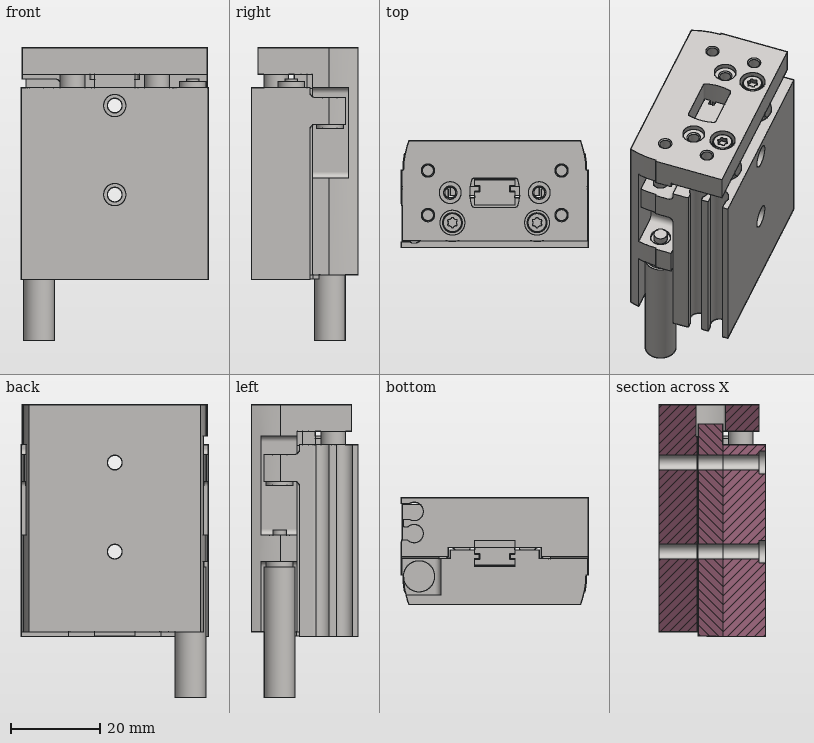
import cadquery as cq
import math


housing_half_width = 21.0
housing_bottom = -0.1
housing_top = 43.0
housing_depth = 13.2

table_half_width = 20.8
table_top = 52.0
table_bottom = 1.0
end_plate_thickness = 6.0
end_plate_front = 1.5
table_back = 24.0
table_wall = 2.2
flange_front = 13.7
crown_start = 17.4
crown_step = 0.35
crown_drop = 1.15
fit_gap = 0.4

end_plate_bottom = table_top - end_plate_thickness
pocket_back = table_back - table_wall
crown_run = table_back - crown_start
crown_radius = (crown_run**2 + crown_drop**2) / (2 * crown_drop)

rail_half_width = 4.5
rail_front = 9.6
rail_back = 15.2
rail_bottom = 0.0
rail_top = 47.7
ball_groove_front = 12.55
ball_groove_width = 1.3
ball_groove_depth = 1.1

carriage_half_width = 10.0
carriage_front = 11.7
carriage_top = 42.8
channel_floor = 11.2
carriage_bore_back = rail_back + 0.2
ridge_clearance = 0.1

flange_inner = 12.1
window_top = 44.95
bridge_top = 22.7
bridge_bottom = 16.8
window_fillet = 1.3

lug_bottom = 34.8
lug_top = 40.8
lug_back = 21.15
lug_inner = flange_inner + fit_gap
lug_fillet = 1.2
stop_x = 17.0
stop_y = 17.65
bumper_diameter = 6.0
bumper_height = 0.9
lug_hole_diameter = 3.24

groove_diameter = 4.13
groove_center_x = -18.1
front_groove_y = 3.1
front_groove_mouth = 3.6
rear_groove_y = 8.05
rear_groove_mouth = 2.9
rear_bevel_width = 0.45
rear_bevel_depth = 0.1
rib_inset = 0.5

mount_hole_diameter = 3.24
mount_bore_diameter = 5.0
mount_bore_depth = 1.5
mount_hole_heights = (19.0, 39.0)

rod_x = 9.5
rod_y = 5.6
rod_diameter = 5.6
rod_insertion = 12.0
gland_diameter = 8.5
gland_depth = 6.0
screw_shank_diameter = 3.0
screw_head_diameter = 4.46
screw_head_height = 2.4
screw_head_chamfer = 0.2
screw_bore_diameter = 5.6
screw_bore_depth = 2.8
socket_diameter = 1.9
socket_lobe_diameter = 0.5
socket_depth = 1.0

stud_x = 17.5
stud_y = 9.0
stud_diameter = 6.0
stud_height = 1.4
stud_pin_diameter = 2.8
stud_pin_height = 0.6

tapped_hole_x = 15.0
tapped_hole_rows = (7.3, 17.3)
thread_mouth_diameter = 3.0
thread_diameter = 2.46
tapped_hole_depth = 5.0
stepped_hole_x = 10.0
stepped_hole_y = 12.35
stepped_bore_diameter = 4.9
stepped_bore_depth = 1.2
opening_half_width = 5.6
opening_corner_x = 5.05
opening_front = 9.05
opening_back = 15.6
opening_fillet = 0.6
opening_bottom = 44.8

absorber_bottom = -13.8
absorber_diameter = 7.0
collar_bottom = 15.6
collar_diameter = 6.0
shank_diameter = 4.5
shank_recess = 0.6
plunger_diameter = 3.0
plunger_top = 23.8


def cylinder(diameter, x, y, bottom, top):
    """Upright cylinder between two heights."""
    return cq.Workplane("XY", origin=(x, y, bottom)).circle(diameter / 2).extrude(top - bottom)


def block(x_range, y_range, z_range):
    """Box between the given limits."""
    size = [high - low for low, high in (x_range, y_range, z_range)]
    corner = (x_range[0], y_range[0], z_range[0])
    return cq.Workplane("XY", origin=corner).box(*size, centered=False)


def symmetric_block(half_width, y_range, z_range):
    """Box centred on the middle plane."""
    return block((-half_width, half_width), y_range, z_range)


def crowned_outline(half_width, front, back, bottom, top):
    """Block whose sides step in at the crown start and curve inward from there."""
    run = back - crown_start

    def drop(distance):
        return crown_radius - math.sqrt(crown_radius**2 - distance**2)

    crown_half_width = half_width - crown_step
    back_x = crown_half_width - drop(run)
    middle_x = crown_half_width - drop(run / 2)
    middle_y = crown_start + run / 2
    return (
        cq.Workplane("XY", origin=(0, 0, bottom))
        .moveTo(-half_width, front)
        .lineTo(half_width, front)
        .lineTo(half_width, crown_start)
        .lineTo(crown_half_width, crown_start)
        .threePointArc((middle_x, middle_y), (back_x, back))
        .lineTo(-back_x, back)
        .threePointArc((-middle_x, middle_y), (-crown_half_width, crown_start))
        .lineTo(-half_width, crown_start)
        .close()
        .extrude(top - bottom)
    )


def mount_holes(diameter, y_start, y_end):
    """Cylinders along Y at the two mounting hole heights."""
    points = [(0, height) for height in mount_hole_heights]
    plane = cq.Workplane("XZ", origin=(0, y_start, 0))
    return plane.pushPoints(points).circle(diameter / 2).extrude(y_start - y_end)


def sensor_groove(center_y, mouth):
    """Round groove along Z that opens to the -X side through a narrower mouth."""
    bore = cylinder(groove_diameter, groove_center_x, center_y, housing_bottom, housing_top)
    opening = block(
        (-housing_half_width, groove_center_x),
        (center_y - mouth / 2, center_y + mouth / 2),
        (housing_bottom, housing_top),
    )
    return bore.union(opening)


def mouth_bevel(face_x, direction):
    """Shallow bevel along one edge of the rear groove mouth; direction is -1 or +1 along Y."""
    mouth_edge = rear_groove_y + direction * rear_groove_mouth / 2
    return (
        cq.Workplane("XY", origin=(0, 0, housing_bottom))
        .moveTo(face_x, mouth_edge)
        .lineTo(face_x, mouth_edge + direction * rear_bevel_width)
        .lineTo(face_x + rear_bevel_depth, mouth_edge)
        .close()
        .extrude(housing_top - housing_bottom)
    )


def stop_lug(side):
    """Lug with a crowned back that reaches into a table window; side is -1 or +1."""
    crowned = crowned_outline(housing_half_width, housing_depth, lug_back, lug_bottom, lug_top)
    reach = sorted((side * lug_inner, side * housing_half_width))
    lug = crowned.intersect(block(reach, (housing_depth, lug_back), (lug_bottom, lug_top)))
    x = side * stop_x
    bumper = cylinder(bumper_diameter, x, stop_y, lug_bottom - bumper_height, lug_bottom)
    hole = cylinder(lug_hole_diameter, x, stop_y, lug_bottom - bumper_height, lug_top)
    return lug.union(bumper).cut(hole)


def rod_bore(side):
    """Bore for a piston rod with a wider gland at its mouth."""
    x = side * rod_x
    bore = cylinder(rod_diameter, x, rod_y, housing_top - rod_insertion, housing_top)
    gland = cylinder(gland_diameter, x, rod_y, housing_top - gland_depth, housing_top)
    return bore.union(gland)


def make_housing():
    full_height = (housing_bottom, housing_top)
    body = symmetric_block(housing_half_width, (0, housing_depth), full_height)
    for side in (-1, 1):
        body = body.union(stop_lug(side))
    root_edges = cq.selectors.BoxSelector(
        (-housing_half_width - 1, housing_depth - 0.1, lug_bottom - 0.1),
        (housing_half_width + 1, housing_depth + 0.1, lug_top + 0.1),
    )
    body = body.edges("|X").edges(root_edges).fillet(lug_fillet)

    channel_half_width = carriage_half_width + fit_gap
    body = body.cut(symmetric_block(channel_half_width, (channel_floor, housing_depth), full_height))
    body = body.cut(symmetric_block(rail_half_width, (rail_front, housing_depth), (rail_bottom, housing_top)))

    body = body.cut(sensor_groove(front_groove_y, front_groove_mouth))
    body = body.cut(sensor_groove(rear_groove_y, rear_groove_mouth))
    rib_face_x = -housing_half_width + rib_inset
    rib_range = (front_groove_y, rear_groove_y)
    body = body.cut(block((-housing_half_width, rib_face_x), rib_range, full_height))
    body = body.cut(mouth_bevel(-housing_half_width, 1))
    body = body.cut(mouth_bevel(rib_face_x, -1))

    body = body.cut(mount_holes(mount_hole_diameter, 0, housing_depth))
    body = body.cut(mount_holes(mount_bore_diameter, 0, mount_bore_depth))
    for side in (-1, 1):
        body = body.cut(rod_bore(side))

    stud_top = housing_top + stud_height
    body = body.union(cylinder(stud_diameter, stud_x, stud_y, housing_top, stud_top))
    return body.union(cylinder(stud_pin_diameter, stud_x, stud_y, stud_top, stud_top + stud_pin_height))


def make_rail():
    height_range = (rail_bottom, rail_top)
    rail = symmetric_block(rail_half_width, (rail_front, rail_back), height_range)
    groove_range = (ball_groove_front, ball_groove_front + ball_groove_width)
    for side in (-1, 1):
        reach = sorted((side * (rail_half_width - ball_groove_depth), side * rail_half_width))
        rail = rail.cut(block(reach, groove_range, height_range))
    return rail.cut(mount_holes(mount_hole_diameter, rail_front, rail_back))


def rail_passage():
    """Passage for the rail, with a ridge on each side that runs in a ball groove."""
    height_range = (table_bottom, end_plate_bottom)
    passage = symmetric_block(rail_half_width, (carriage_front, carriage_bore_back), height_range)
    ridge_front = ball_groove_front + ridge_clearance
    ridge_back = ball_groove_front + ball_groove_width - ridge_clearance
    ridge_tip = rail_half_width - ball_groove_depth + ridge_clearance
    for side in (-1, 1):
        reach = sorted((side * ridge_tip, side * rail_half_width))
        passage = passage.cut(block(reach, (ridge_front, ridge_back), height_range))
    return passage


def side_window(side, bottom, top, rounded_edges):
    """Pocket in a side flange, open to the side and front, with rounded inner edges."""
    reach = sorted((side * flange_inner, side * (table_half_width + 1)))
    pocket = block(reach, (flange_front, pocket_back), (bottom, top))
    inner_side = ">X" if side < 0 else "<X"
    return pocket.faces(inner_side).edges(rounded_edges).fillet(window_fillet)


def end_plate_opening():
    """Opening over the rail end, with bowed short sides."""
    middle_y = (opening_front + opening_back) / 2
    return (
        cq.Workplane("XY", origin=(0, 0, opening_bottom))
        .moveTo(-opening_corner_x, opening_front)
        .lineTo(opening_corner_x, opening_front)
        .threePointArc((opening_half_width, middle_y), (opening_corner_x, opening_back))
        .lineTo(-opening_corner_x, opening_back)
        .threePointArc((-opening_half_width, middle_y), (-opening_corner_x, opening_front))
        .close()
        .extrude(table_top - opening_bottom)
        .edges("|Z")
        .fillet(opening_fillet)
    )


def threaded_hole(x, y, bottom, top):
    """Plain threaded hole with a conical mouth."""
    mouth_depth = (thread_mouth_diameter - thread_diameter) / 2
    hole = cylinder(thread_diameter, x, y, bottom, top)
    mouth = (
        cq.Workplane("XY", origin=(x, y, top - mouth_depth))
        .circle(thread_diameter / 2)
        .workplane(offset=mouth_depth)
        .circle(thread_mouth_diameter / 2)
        .loft()
    )
    return hole.union(mouth)


def stepped_hole(x):
    """Threaded hole through the end plate, at the bottom of a wider bore."""
    seat = table_top - stepped_bore_depth
    hole = threaded_hole(x, stepped_hole_y, end_plate_bottom, seat)
    return hole.union(cylinder(stepped_bore_diameter, x, stepped_hole_y, seat, table_top))


def screw_hole(x):
    """Counterbored hole that takes the screw end of a piston rod."""
    shank = cylinder(screw_shank_diameter, x, rod_y, end_plate_bottom, table_top)
    bore = cylinder(screw_bore_diameter, x, rod_y, table_top - screw_bore_depth, table_top)
    return shank.union(bore)


def make_table():
    plate = crowned_outline(table_half_width, end_plate_front, table_back, end_plate_bottom, table_top)
    body = crowned_outline(table_half_width, flange_front, table_back, table_bottom, end_plate_bottom)
    nose = symmetric_block(
        carriage_half_width, (carriage_front, flange_front), (table_bottom, carriage_top)
    )
    table = plate.union(body).union(nose)

    table = table.cut(rail_passage()).cut(end_plate_opening())

    table = table.cut(side_window(-1, bridge_top, window_top, "|Y"))
    table = table.cut(side_window(-1, table_bottom, bridge_bottom, ">Z"))
    table = table.cut(side_window(1, bridge_top, housing_top, "|Y"))

    table = table.cut(mount_holes(mount_hole_diameter, flange_front, table_back))
    table = table.cut(cylinder(shank_diameter, -stop_x, stop_y, bridge_bottom, bridge_top))
    tapped_hole_bottom = table_top - tapped_hole_depth
    for side in (-1, 1):
        table = table.cut(stepped_hole(side * stepped_hole_x))
        table = table.cut(screw_hole(side * rod_x))
        for y in tapped_hole_rows:
            table = table.cut(threaded_hole(side * tapped_hole_x, y, tapped_hole_bottom, table_top))
    return table


def make_rod(side):
    """Piston rod with the screw that clamps it to the end plate."""
    x = side * rod_x
    seat = table_top - screw_bore_depth
    head_top = seat + screw_head_height
    head = cylinder(screw_head_diameter, x, rod_y, seat, head_top)
    head = head.faces(">Z").chamfer(screw_head_chamfer)
    socket_bottom = head_top - socket_depth
    socket = cylinder(socket_diameter, x, rod_y, socket_bottom, head_top)
    lobes = (
        cq.Workplane("XY", origin=(x, rod_y, socket_bottom))
        .polarArray(socket_diameter / 2, 90, 360, 6)
        .circle(socket_lobe_diameter / 2)
        .extrude(socket_depth)
    )
    rod = cylinder(rod_diameter, x, rod_y, housing_top - rod_insertion, end_plate_bottom)
    shank = cylinder(screw_shank_diameter, x, rod_y, end_plate_bottom, seat)
    return rod.union(shank).union(head.cut(socket).cut(lobes))


def make_shock_absorber():
    shank_top = bridge_top - shank_recess
    sections = (
        (absorber_diameter, absorber_bottom, collar_bottom),
        (collar_diameter, collar_bottom, bridge_bottom),
        (shank_diameter, bridge_bottom, shank_top),
        (plunger_diameter, shank_top, plunger_top),
    )
    absorber = cq.Workplane("XY")
    for diameter, bottom, top in sections:
        absorber = absorber.union(cylinder(diameter, -stop_x, stop_y, bottom, top))
    return absorber


housing = make_housing()
rail = make_rail()
table = make_table()
rods = [make_rod(side) for side in (-1, 1)]
shock_absorber = make_shock_absorber()

result = cq.Compound.makeCompound([
    housing.val(),
    rail.val(),
    table.val(),
    *[rod.val() for rod in rods],
    shock_absorber.val(),
])